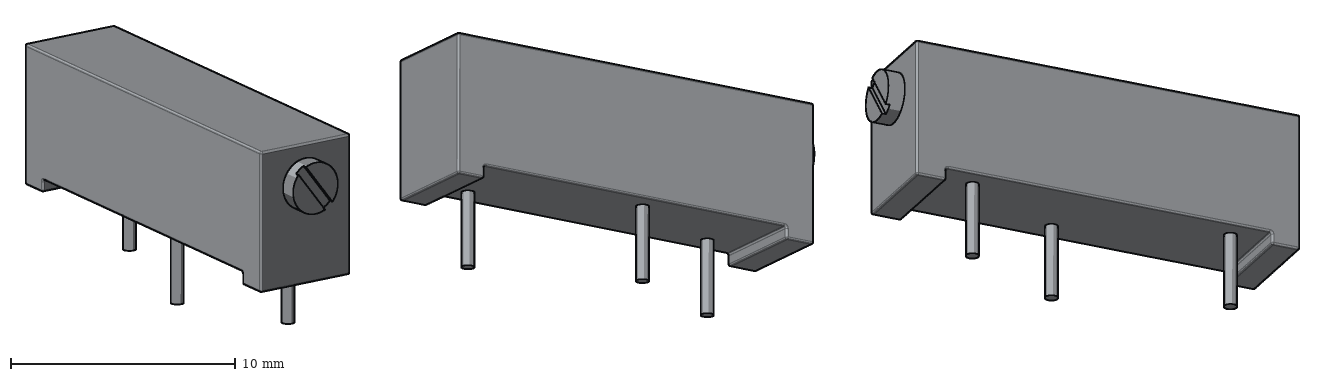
import cadquery as cq

total_length = 19.7
total_height = 9.52

body_width = 4.8
body_height = 6.6
screw_length = 0.8
body_length = total_length - screw_length
left_foot_length = 1.4
right_foot_length = 1.48
foot_height = 0.6
edge_radius = 0.1

screw_diameter = 2.4
screw_drop = 1.91
slot_width = 0.5
slot_depth = 0.2
slot_angle = 127.0

pin_diameter = 0.6
pin_pitch = 2.55
first_pin_x = 2.9
pin_length = total_height - body_height + foot_height
pin_layout = [(0, 1), (3, -1), (5, 1)]


def make_body():
    """Housing with every edge rounded, including the roots of the feet.

    The origin is at its left end, level with the soles of the feet.
    """
    block = cq.Workplane("XY").box(body_length, body_width, body_height, centered=(False, True, False))
    gap_length = body_length - left_foot_length - right_foot_length
    gap = (
        cq.Workplane("XY")
        .box(gap_length, body_width, foot_height, centered=(False, True, False))
        .translate((left_foot_length, 0, 0))
    )
    return block.cut(gap).edges().fillet(edge_radius)


def make_screw():
    """Round screw head with a straight slot cut across the full diameter."""
    axis_height = body_height - screw_drop
    head = (
        cq.Workplane("YZ", origin=(body_length, 0, axis_height))
        .circle(screw_diameter / 2)
        .extrude(screw_length)
    )
    slot = (
        cq.Workplane("YZ", origin=(total_length - slot_depth, 0, axis_height))
        .transformed(rotate=(0, 0, slot_angle))
        .rect(screw_diameter, slot_width)
        .extrude(slot_depth)
    )
    return head.cut(slot)


def make_pins():
    """Round pins hanging from the raised underside of the housing."""
    places = [(first_pin_x + steps * pin_pitch, side * pin_pitch / 2) for steps, side in pin_layout]
    return (
        cq.Workplane("XY", origin=(0, 0, foot_height))
        .pushPoints(places)
        .circle(pin_diameter / 2)
        .extrude(-pin_length)
    )


result = make_body().union(make_screw()).union(make_pins())